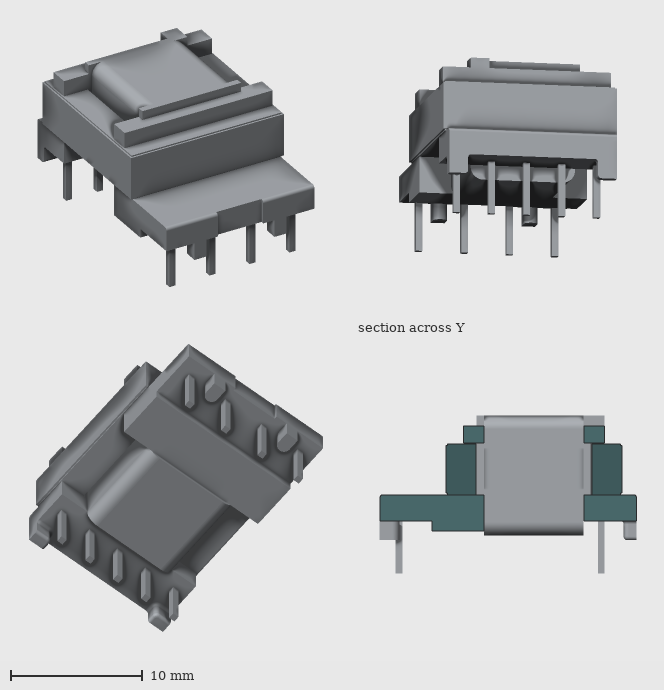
import cadquery as cq


left_end = -7.8
right_end = 11.7
half_width = 6.5
slot_half_length = 3.78
top_z = 5.97
base_bottom_z = -2.0
foot_bottom_z = -3.47
pin_bottom_z = -6.03
edge_radius = 0.25
tolerance = 0.02

coil_half = 6.7
collar_half = 6.57
collar_height = 0.12
coil_top_z = 3.85
coil_clearance = 0.05

tube_half = 4.33
post_half_width = 4.04
post_bottom_z = -3.12
post_radius = 0.98

rail_outer = 5.38
rail_bottom_z = 3.88
rail_top_z = 5.2
marker_start_y = 2.9

lip_thickness = 0.98
lip_opening_half = 5.03
lip_corner_radius = 0.37
step_end = 7.75
step_bottom_z = -2.77
notch_half_width = 1.99
foot_y = 3.51
foot_radius = 0.53
foot_nose_x = 10.7

pin_size = 0.5
left_pin_x = -5.13
left_pin_count = 5
left_pin_pitch = 2.71
right_pin_x = 10.22
right_pin_count = 4
right_pin_pitch = 3.51


def block(x_min, x_max, y_min, y_max, z_min, z_max):
    """Box given by its limits along each axis."""
    size = (x_max - x_min, y_max - y_min, z_max - z_min)
    return cq.Workplane("XY").box(*size, centered=False).translate((x_min, y_min, z_min))


def wide_block(x_min, x_max, half_y, z_min, z_max):
    """Box centered on the XZ plane."""
    return block(x_min, x_max, -half_y, half_y, z_min, z_max)


def make_post():
    """Square column through the coil, narrowed and rounded between the slots."""
    ends = wide_block(-tube_half, tube_half, tube_half, 0, top_z)
    ends = ends.cut(wide_block(-slot_half_length, slot_half_length, tube_half, 0, top_z))
    middle = wide_block(-slot_half_length, slot_half_length, post_half_width, post_bottom_z, top_z)
    return ends.union(middle.edges("|X").fillet(post_radius))


def make_rails():
    """Two rails over the coil and the raised corner block on the left one."""
    left = wide_block(-rail_outer, -slot_half_length, half_width, rail_bottom_z, rail_top_z)
    right = left.mirror("YZ")
    marker = block(-rail_outer, -slot_half_length, marker_start_y, tube_half, rail_top_z, top_z)
    return left.union(right).union(marker)


def make_left_base():
    """Terminal base whose outer end turns down into two rounded legs."""
    lip_inner = left_end + lip_thickness
    base = wide_block(left_end, -slot_half_length, half_width, base_bottom_z, 0)
    base = base.edges("<X and >Z").fillet(edge_radius)

    lip = wide_block(left_end, lip_inner, half_width, foot_bottom_z, base_bottom_z)
    lip = lip.cut(wide_block(left_end, lip_inner, lip_opening_half, foot_bottom_z, base_bottom_z))
    upright_corners = cq.selectors.BoxSelector(
        (lip_inner - tolerance, -lip_opening_half - tolerance, foot_bottom_z),
        (lip_inner + tolerance, lip_opening_half + tolerance, base_bottom_z),
    )
    lip = lip.edges("|Z").edges(upright_corners).fillet(lip_corner_radius)
    lip = lip.faces("<Z").edges(">X").fillet(edge_radius)

    base = base.union(lip)
    leg_roots = cq.selectors.BoxSelector(
        (left_end + tolerance, -half_width + tolerance, base_bottom_z - tolerance),
        (lip_inner + tolerance, half_width - tolerance, base_bottom_z + tolerance),
    )
    return base.edges(leg_roots).fillet(edge_radius)


def make_foot(y):
    """Foot under the long base, with a half-round nose toward the coil."""
    height = base_bottom_z - foot_bottom_z
    nose = cq.Workplane("XY").circle(foot_radius).extrude(height)
    nose = nose.translate((foot_nose_x, y, foot_bottom_z))
    body = block(foot_nose_x, right_end, y - foot_radius, y + foot_radius, foot_bottom_z, base_bottom_z)
    return nose.union(body)


def make_right_base():
    """Long terminal base with a thick step, an end notch and two feet."""
    base = wide_block(slot_half_length, right_end, half_width, base_bottom_z, 0)
    base = base.edges(">X and >Z").fillet(edge_radius)
    base = base.cut(wide_block(right_end - edge_radius, right_end, notch_half_width, base_bottom_z, 0))
    base = base.union(wide_block(slot_half_length, step_end, half_width, step_bottom_z, base_bottom_z))
    for y in (-foot_y, foot_y):
        base = base.union(make_foot(y))
    return base


def make_pin_row(x, count, pitch):
    """Row of square pins along Y, rooted in the underside of a base."""
    length = base_bottom_z - pin_bottom_z
    row = cq.Workplane("XY").rarray(0.2, pitch, 1, count).rect(pin_size, pin_size).extrude(length)
    return row.translate((x, 0, pin_bottom_z))


def make_former():
    """One-piece former: bases, post, rails and pins."""
    former = make_post().union(make_rails())
    former = former.union(make_left_base()).union(make_right_base())
    former = former.union(make_pin_row(left_pin_x, left_pin_count, left_pin_pitch))
    return former.union(make_pin_row(right_pin_x, right_pin_count, right_pin_pitch))


def make_coil():
    """Square ring around the post, with a low collar at each end."""
    winding = wide_block(-collar_half, collar_half, collar_half, 0, coil_top_z)
    wrap = wide_block(-coil_half, coil_half, coil_half, collar_height, coil_top_z - collar_height)
    window_half = tube_half + coil_clearance
    window = wide_block(-window_half, window_half, window_half, 0, coil_top_z)
    return winding.union(wrap).cut(window)


former = make_former()
coil = make_coil()
result = cq.Compound.makeCompound([former.val(), coil.val()])